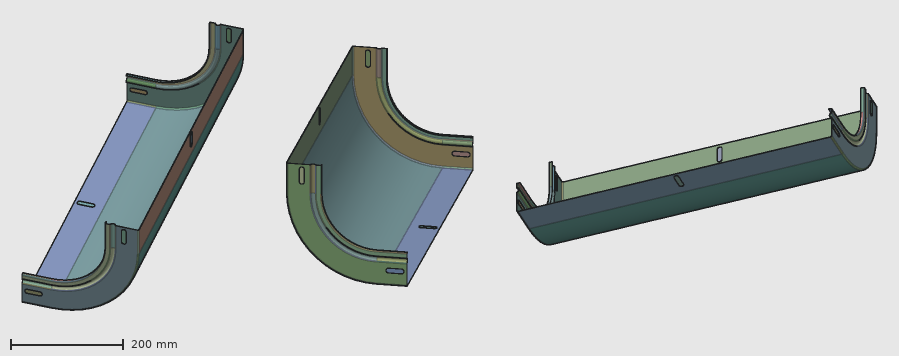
import cadquery as cq
import math

width = 603.0
outer_size = 219.0
leg_length = 55.0
sheet = 1.0

wall_height = 64.0
floor_bend_radius = 3.0
flange_radius = 2.0
flange_width = 6.5
groove_radius = 4.0
groove_blend = 2.0
groove_height = 49.0

slot_length = 32.5
slot_width = 9.0
slot_end_gap = 5.5
wall_slot_height = 28.5
web_thickness = 0.4
cut_clearance = 0.5

half_width = width / 2
bend_radius = outer_size - leg_length
inner_half_width = half_width - sheet


def channel_outline(workplane):
    """Closed channel section: local x is across the tray, local y is height above the floor underside."""
    diagonal = math.sqrt(0.5)
    floor_bend_centre = half_width - floor_bend_radius
    flange_bend_centre = half_width - flange_radius
    flange_bend_height = wall_height - flange_radius
    inner_floor_bend = floor_bend_radius - sheet
    inner_flange_bend = flange_radius - sheet
    flange_tip = half_width - flange_width
    centre_distance = groove_radius + groove_blend
    groove_reach = math.sqrt(centre_distance**2 - groove_blend**2)
    tangent_angle = math.asin(groove_blend / centre_distance)

    def blend_point(offset, angle, sign):
        """Point on a blend arc, offset inwards from the outer face; a positive sign is above the groove."""
        radius = groove_blend - offset
        across = half_width - groove_blend + radius * math.sin(angle)
        return (across, groove_height + sign * (groove_reach - radius * math.cos(angle)))

    def groove_steps(offset, sign):
        """Blend, groove and blend, started from the lower side (sign -1) or the upper side (sign 1)."""
        middle_angle = (tangent_angle + math.pi / 2) / 2
        wall_angle = math.pi / 2
        bottom = (half_width - groove_radius - offset, groove_height)
        return [
            [blend_point(offset, wall_angle, sign)],
            [blend_point(offset, middle_angle, sign), blend_point(offset, tangent_angle, sign)],
            [bottom, blend_point(offset, tangent_angle, -sign)],
            [blend_point(offset, middle_angle, -sign), blend_point(offset, wall_angle, -sign)],
        ]

    outside = [
        [(floor_bend_centre, 0)],
        [(floor_bend_centre + floor_bend_radius * diagonal, floor_bend_radius * (1 - diagonal)),
         (half_width, floor_bend_radius)],
        *groove_steps(0, -1),
        [(half_width, flange_bend_height)],
        [(flange_bend_centre + flange_radius * diagonal, flange_bend_height + flange_radius * diagonal),
         (flange_bend_centre, wall_height)],
        [(flange_tip, wall_height)],
    ]
    inside = [
        [(flange_tip, wall_height - sheet)],
        [(flange_bend_centre, wall_height - sheet)],
        [(flange_bend_centre + inner_flange_bend * diagonal,
          flange_bend_height + inner_flange_bend * diagonal),
         (inner_half_width, flange_bend_height)],
        *groove_steps(sheet, 1),
        [(inner_half_width, floor_bend_radius)],
        [(floor_bend_centre + inner_floor_bend * diagonal, floor_bend_radius - inner_floor_bend * diagonal),
         (floor_bend_centre, sheet)],
        [(0, sheet)],
    ]
    outline = workplane.moveTo(0, 0)
    for points in outside + inside:
        if len(points) == 1:
            outline = outline.lineTo(*points[0])
        else:
            outline = outline.threePointArc(*points)
    return outline.close()


def half_channel():
    """The +Y half of the bend: inlet leg, quarter turn and outlet leg."""
    inlet = channel_outline(cq.Workplane("YZ")).extrude(leg_length)
    turn_start = cq.Workplane("YZ", origin=(leg_length, 0, 0))
    turn = channel_outline(turn_start).revolve(90, (0, bend_radius, 0), (-1, bend_radius, 0))
    outlet_plane = cq.Plane(origin=(outer_size, 0, bend_radius), xDir=(0, 1, 0), normal=(0, 0, 1))
    outlet = channel_outline(cq.Workplane(outlet_plane)).extrude(leg_length)
    return inlet.union(turn).union(outlet)


def knockout(origin, along, normal):
    """A slot recessed into both faces of a sheet whose middle lies at origin, leaving the web between."""
    middle = cq.Plane(origin=origin, xDir=along, normal=normal)
    slot = cq.Workplane(middle).slot2D(slot_length, slot_width)
    slot_solid = slot.extrude(sheet / 2 + cut_clearance, both=True)
    web = cq.Workplane(middle).rect(slot_length, slot_width).extrude(web_thickness / 2, both=True)
    return slot_solid.cut(web)


def leg_knockouts():
    """One knockout in the floor and one in each wall, for both legs."""
    along_x = (1, 0, 0)
    along_y = (0, 1, 0)
    along_z = (0, 0, 1)
    slot_centre = slot_end_gap + slot_length / 2
    outlet_slot_x = outer_size - wall_slot_height
    outlet_slot_z = outer_size - slot_centre
    cuts = [
        knockout((slot_centre, 0, sheet / 2), along_x, along_z),
        knockout((outer_size - sheet / 2, 0, outlet_slot_z), along_z, along_x),
    ]
    for sign in (-1, 1):
        wall_middle = sign * (half_width - sheet / 2)
        cuts.append(knockout((slot_centre, wall_middle, wall_slot_height), along_x, along_y))
        cuts.append(knockout((outlet_slot_x, wall_middle, outlet_slot_z), along_z, along_y))
    return cuts


half_bend = half_channel()
result = half_bend.union(half_bend.mirror("XZ"))
for cut in leg_knockouts():
    result = result.cut(cut)